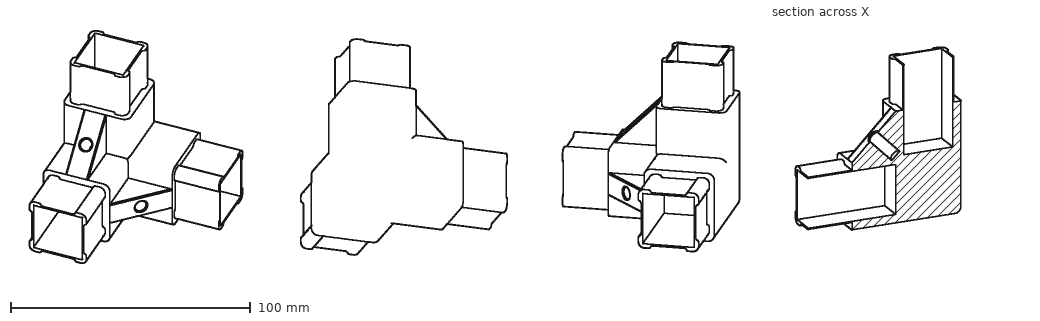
import cadquery as cq
import math


overall_size = 70.0
block_size = 30.0
arm_length = 50.0
block_edge_radius = 2.95

spigot_size = 25.8
bore_size = 22.05
spigot_edge_radius = 2.6

recess_depth = 1.2
rib_width = 4.35
recess_flank_run = 1.75

gusset_width = 10.0
gusset_chamfer = 0.5
hole_diameter = 5.0
hole_chamfer = 0.5

half_block = block_size / 2
arm_end = arm_length - half_block
spigot_end = overall_size - half_block
spigot_length = spigot_end - arm_end
half_spigot = spigot_size / 2
gusset_leg = arm_end - half_block
hole_depth = gusset_leg / math.sqrt(2)


def along_x(solid):
    return solid.rotate((0, 0, 0), (0, 1, 0), 90)


def along_minus_y(solid):
    return solid.rotate((0, 0, 0), (1, 0, 0), 90)


def make_housing():
    """Three square arms meeting in a corner, rounded along their outer edges."""
    arm = cq.Workplane("XY").workplane(offset=-half_block)
    arm = arm.rect(block_size, block_size).extrude(arm_length)
    arm = arm.edges("|Z or <Z").fillet(block_edge_radius)
    other_arms = along_x(arm).union(along_minus_y(arm), clean=False)
    return arm.union(other_arms, clean=False)


def make_recess():
    """Cutter for the channel on the +Y face of a spigot, with S-shaped flanks."""
    outer_x = half_spigot - rib_width
    middle_x = outer_x - recess_flank_run / 2
    inner_x = outer_x - recess_flank_run
    floor_y = half_spigot - recess_depth
    middle_y = half_spigot - recess_depth / 2
    return (
        cq.Workplane("XY").workplane(offset=arm_end)
        .moveTo(0, floor_y)
        .lineTo(inner_x, floor_y)
        .tangentArcPoint((middle_x, middle_y), relative=False)
        .tangentArcPoint((outer_x, half_spigot), relative=False)
        .lineTo(0, half_spigot)
        .mirrorY()
        .extrude(spigot_length)
    )


def make_spigot():
    """Ribbed spigot that plugs into a tube, standing on the +Z arm."""
    spigot = cq.Workplane("XY").workplane(offset=arm_end)
    spigot = spigot.rect(spigot_size, spigot_size).extrude(spigot_length)
    spigot = spigot.edges("|Z").fillet(spigot_edge_radius)
    recess = make_recess()
    for side in range(4):
        spigot = spigot.cut(recess.rotate((0, 0, 0), (0, 0, 1), 90 * side))
    return spigot


def make_bore():
    """Square bore through the spigot and arm, down to the corner block."""
    bore = cq.Workplane("XY").workplane(offset=half_block)
    return bore.rect(bore_size, bore_size).extrude(spigot_end - half_block)


def make_gusset():
    """Triangular gusset between the -Y and +Z arms."""
    gusset = (
        cq.Workplane("YZ")
        .moveTo(-half_block, half_block)
        .lineTo(-half_block, arm_end)
        .lineTo(-arm_end, half_block)
        .close()
        .extrude(gusset_width / 2, both=True)
    )
    slope_edges = cq.selectors.ParallelDirSelector(cq.Vector(0, 1, 1))
    return gusset.edges(slope_edges).chamfer(gusset_chamfer)


def make_screw_hole():
    """Blind screw hole square to the sloped gusset face, chamfered at its mouth."""
    middle = (half_block + arm_end) / 2
    slope_plane = cq.Plane(origin=(0, -middle, middle), xDir=(1, 0, 0), normal=(0, -1, 1))
    hole_radius = hole_diameter / 2
    mouth_radius = hole_radius + hole_chamfer
    shaft = cq.Workplane(slope_plane).circle(hole_radius).extrude(-hole_depth)
    mouth = cq.Workplane(slope_plane).circle(mouth_radius).extrude(-hole_chamfer, taper=45)
    return shaft.union(mouth)


spigot = make_spigot()
body = make_housing().union(spigot).union(along_x(spigot)).union(along_minus_y(spigot))

gusset = make_gusset()
body = body.union(gusset).union(along_x(gusset))

bore = make_bore()
body = body.cut(bore).cut(along_x(bore)).cut(along_minus_y(bore))

screw_hole = make_screw_hole()
result = body.cut(screw_hole).cut(along_x(screw_hole))